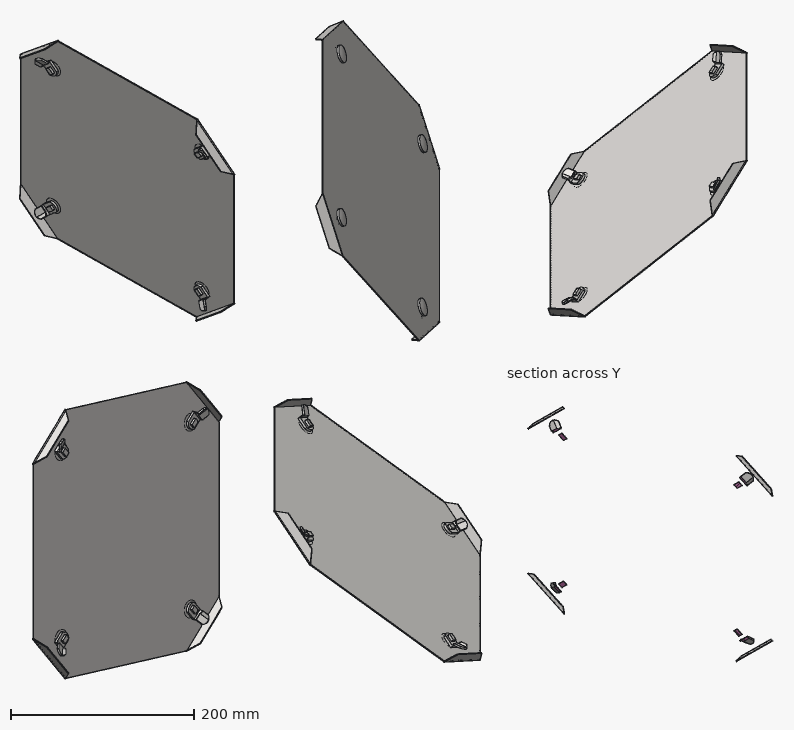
import cadquery as cq
import math

OVERALL = 301.3
SHEET = 1.2
PANEL_SIDE = OVERALL - math.sqrt(2) * SHEET
CORNER_EDGE = 75.0
CORNER_LEG = CORNER_EDGE / math.sqrt(2)
CORNER_DISTANCE = (PANEL_SIDE - CORNER_LEG) / math.sqrt(2)
FLANGE_DEPTH = 13.0
FLANGE_TAPER = 13.0

CORNERS = 4
FIRST_DIAGONAL = 45
FASTENER_DISTANCE = 147.5

KNOB_RADIUS = 10.0
KNOB_RIM = 2.0
KNOB_DOME = 1.0

LATCH_WIDTH = 13.5
END_RADIUS = 8.0
TONGUE_THICKNESS = 3.0
TONGUE_REACH = 7.5
BOSS_LENGTH = 8.5
BOSS_WIDTH = 5.7
BOSS_HEIGHT = 3.0

STEP_DISTANCE = 9.0
STEP_HEIGHT = 3.3
FOOT_LENGTH = 1.2
TAB_LENGTH = 12.5
TAB_THICKNESS = 2.0
TAB_SLOPE = 30
TAB_FOLD = 30
CREASE_OFFSET = 2.0
TAB_ROOT = 6
SPACE = 60.3

HALF_WIDTH = LATCH_WIDTH / 2
END_BULGE = END_RADIUS - math.sqrt(END_RADIUS**2 - HALF_WIDTH**2)



def on_diagonals(body):
    """One copy of a body on each diagonal of the panel."""
    return [
        body.rotate((0, 0, 0), (0, 0, 1), FIRST_DIAGONAL + corner * 360 / CORNERS)
        for corner in range(CORNERS)
    ]


def stand_up(body):
    """Turn a body so that its front faces -Y."""
    return body.rotate((0, 0, 0), (1, 0, 0), 90)


def make_flange():
    half_back = CORNER_EDGE / 2
    half_front = half_back - FLANGE_TAPER
    return (
        cq.Workplane("YZ", origin=(CORNER_DISTANCE, 0, 0))
        .moveTo(-half_back, 0)
        .lineTo(half_back, 0)
        .lineTo(half_front, FLANGE_DEPTH)
        .lineTo(-half_front, FLANGE_DEPTH)
        .close()
        .extrude(SHEET)
    )


def make_panel():
    panel = cq.Workplane("XY").rect(PANEL_SIDE, PANEL_SIDE).extrude(SHEET)
    panel = panel.edges("|Z").chamfer(CORNER_LEG)
    for flange in on_diagonals(make_flange()):
        panel = panel.union(flange)
    return panel


def make_knob():
    dome_radius = (KNOB_RADIUS**2 + KNOB_DOME**2) / (2 * KNOB_DOME)
    back = KNOB_RIM + KNOB_DOME
    middle = KNOB_RADIUS / 2
    middle_depth = back - dome_radius + math.sqrt(dome_radius**2 - middle**2)
    return (
        cq.Workplane("XZ")
        .lineTo(KNOB_RADIUS, 0)
        .lineTo(KNOB_RADIUS, -KNOB_RIM)
        .threePointArc((middle, -middle_depth), (0, -back))
        .close()
        .revolve(360, (0, 0, 0), (0, 1, 0))
        .translate((FASTENER_DISTANCE, 0, 0))
    )


def rounded_strip(length, thickness):
    """Strip from the YZ plane along +X, with its far end rounded and its front at Z = 0."""
    return (
        cq.Workplane("XY")
        .moveTo(0, -HALF_WIDTH)
        .lineTo(length - END_BULGE, -HALF_WIDTH)
        .threePointArc((length, 0), (length - END_BULGE, HALF_WIDTH))
        .lineTo(0, HALF_WIDTH)
        .close()
        .extrude(-thickness)
    )


def make_tongue():
    length = TONGUE_REACH + STEP_DISTANCE + FOOT_LENGTH
    tongue = rounded_strip(length, TONGUE_THICKNESS)
    tongue = tongue.rotate((0, 0, 0), (0, 0, 1), 180)
    return tongue.translate((STEP_DISTANCE + FOOT_LENGTH, 0, TONGUE_THICKNESS))


def make_boss():
    return (
        cq.Workplane("XY", origin=(0, 0, TONGUE_THICKNESS))
        .rect(BOSS_LENGTH, BOSS_WIDTH)
        .extrude(BOSS_HEIGHT)
    )


def make_tab():
    strip = rounded_strip(TAB_LENGTH + TAB_ROOT, TAB_THICKNESS).translate((-TAB_ROOT, 0, 0))
    fold_side = cq.Workplane("XY").box(SPACE, SPACE, SPACE, centered=(True, False, True))
    fold_side = fold_side.translate((0, CREASE_OFFSET, 0))
    crease_start = (0, CREASE_OFFSET, -TAB_THICKNESS)
    crease_end = (1, CREASE_OFFSET, -TAB_THICKNESS)
    folded_side = strip.intersect(fold_side).rotate(crease_start, crease_end, TAB_FOLD)
    tab = strip.cut(fold_side).union(folded_side).rotate((0, 0, 0), (0, 1, 0), -TAB_SLOPE)
    outside_step = cq.Workplane("XY").box(SPACE, SPACE, SPACE, centered=(False, True, True))
    return tab.intersect(outside_step).translate((STEP_DISTANCE, 0, TONGUE_THICKNESS + STEP_HEIGHT))


def make_foot():
    fold = math.radians(TAB_FOLD)
    slope = math.radians(TAB_SLOPE)
    crease = CREASE_OFFSET - TAB_THICKNESS * math.tan(fold / 2)
    folded_width = HALF_WIDTH - CREASE_OFFSET
    edge = CREASE_OFFSET + folded_width * math.cos(fold) - TAB_THICKNESS * math.sin(fold)
    edge_rise = (edge - crease) * math.tan(fold) / math.cos(slope)
    return (
        cq.Workplane("YZ", origin=(STEP_DISTANCE, 0, TONGUE_THICKNESS))
        .moveTo(-HALF_WIDTH, 0)
        .lineTo(HALF_WIDTH, 0)
        .lineTo(edge, STEP_HEIGHT + edge_rise)
        .lineTo(crease, STEP_HEIGHT)
        .lineTo(-HALF_WIDTH, STEP_HEIGHT)
        .close()
        .extrude(FOOT_LENGTH)
    )


def make_latch():
    latch = make_tongue().union(make_boss()).union(make_foot()).union(make_tab())
    return latch.translate((FASTENER_DISTANCE, 0, SHEET))


panel = stand_up(make_panel())
knobs = [stand_up(knob) for knob in on_diagonals(make_knob())]
latches = [stand_up(latch) for latch in on_diagonals(make_latch())]

result = cq.Compound.makeCompound(
    [panel.val(), *[knob.val() for knob in knobs], *[latch.val() for latch in latches]]
)